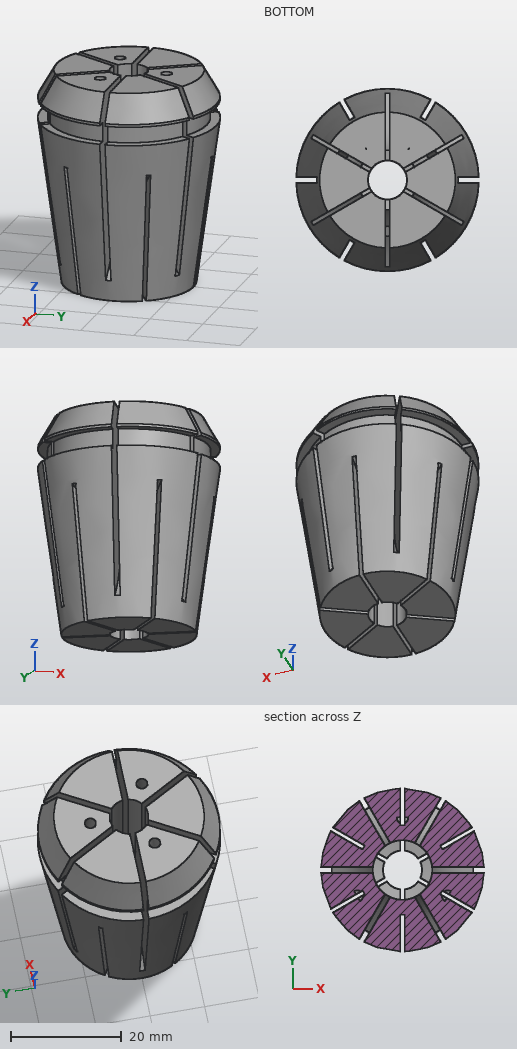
import cadquery as cq
import math

total_height = 40.0
base_radius = 12.25
body_radius = 16.5
body_height = 31.0
groove_radius = 14.72
groove_top = 34.5
head_radius = 16.45
rim_height = 0.5
nose_angle = 30.0

bore_radius = 3.5
chamber_radius = 5.35
chamber_bottom = 8.0
chamber_top = 20.0
chamber_cone_angle = 8.0

slots_per_end = 6
cutter_radius = 20.0
upper_slot_width = 1.0
upper_cutter_distance = 25.1
upper_slot_end = 4.0
lower_slot_width = 0.75
lower_cutter_distance = 24.9
lower_slot_end = 25.0

coolant_holes = 3
coolant_diameter = 2.0
coolant_pitch_radius = 7.1
coolant_tilt = 6.0
coolant_depth = 22.0
first_coolant_angle = 90.0

slot_pitch = 360.0 / slots_per_end
clearance = 1.0


def taper_radius(height):
    """Outer radius of the tapered body at a given height."""
    return base_radius + (body_radius - base_radius) * height / body_height


def make_body():
    """Revolved outside of the collet."""
    rim_top = groove_top + rim_height
    nose_radius = head_radius - (total_height - rim_top) * math.tan(math.radians(nose_angle))
    return (
        cq.Workplane("XZ")
        .moveTo(0, 0)
        .lineTo(base_radius, 0)
        .lineTo(body_radius, body_height)
        .lineTo(groove_radius, body_height)
        .lineTo(groove_radius, groove_top)
        .lineTo(head_radius, groove_top)
        .lineTo(head_radius, rim_top)
        .lineTo(nose_radius, total_height)
        .lineTo(0, total_height)
        .close()
        .revolve(360, (0, 0, 0), (0, 1, 0))
    )


def make_bore():
    """Through bore with the cone-ended relief chamber."""
    cone_rise = (chamber_radius - bore_radius) * math.tan(math.radians(chamber_cone_angle))
    return (
        cq.Workplane("XZ")
        .moveTo(0, -clearance)
        .lineTo(bore_radius, -clearance)
        .lineTo(bore_radius, chamber_bottom)
        .lineTo(chamber_radius, chamber_bottom + cone_rise)
        .lineTo(chamber_radius, chamber_top - cone_rise)
        .lineTo(bore_radius, chamber_top)
        .lineTo(bore_radius, total_height + clearance)
        .lineTo(0, total_height + clearance)
        .close()
        .revolve(360, (0, 0, 0), (0, 1, 0))
    )


def make_slot(width, cutter_distance, exit_height, open_height, angle):
    """Radial slot from the open end to a cutter arc that leaves the taper at exit_height."""
    toward_open = math.copysign(1, open_height - exit_height)

    def arc_offset(radius):
        return math.sqrt(cutter_radius**2 - (cutter_distance - radius) ** 2)

    center_height = exit_height + toward_open * arc_offset(taper_radius(exit_height))

    def arc_height(radius):
        return center_height - toward_open * arc_offset(radius)

    outer_radius = body_radius + clearance
    middle_radius = (chamber_radius + outer_radius) / 2
    beyond_open = open_height + toward_open * clearance
    return (
        cq.Workplane("XZ")
        .moveTo(0, arc_height(chamber_radius))
        .lineTo(chamber_radius, arc_height(chamber_radius))
        .threePointArc(
            (middle_radius, arc_height(middle_radius)),
            (outer_radius, arc_height(outer_radius)),
        )
        .lineTo(outer_radius, beyond_open)
        .lineTo(0, beyond_open)
        .close()
        .extrude(width / 2, both=True)
        .rotate((0, 0, 0), (0, 0, 1), angle)
    )


def make_coolant_hole(angle):
    """One leaning blind hole from the front face."""
    tilt = math.radians(coolant_tilt)
    direction = cq.Vector(math.sin(tilt), 0, -math.cos(tilt))
    entry = cq.Vector(coolant_pitch_radius, 0, total_height)
    hole = cq.Solid.makeCylinder(
        coolant_diameter / 2,
        coolant_depth + clearance,
        entry - direction * clearance,
        direction,
    )
    return cq.Workplane(hole).rotate((0, 0, 0), (0, 0, 1), angle)


def cut_slots(part):
    """Alternate slots from the front face and from the small end."""
    for i in range(slots_per_end):
        upper_angle = i * slot_pitch
        lower_angle = upper_angle + slot_pitch / 2
        part = part.cut(
            make_slot(upper_slot_width, upper_cutter_distance, upper_slot_end, total_height, upper_angle)
        )
        part = part.cut(
            make_slot(lower_slot_width, lower_cutter_distance, lower_slot_end, 0, lower_angle)
        )
    return part


def cut_coolant_holes(part):
    """Coolant holes, each in line with a slot of the small end."""
    for i in range(coolant_holes):
        part = part.cut(make_coolant_hole(first_coolant_angle + i * 360 / coolant_holes))
    return part


result = make_body().cut(make_bore())
result = cut_slots(result)
result = cut_coolant_holes(result)